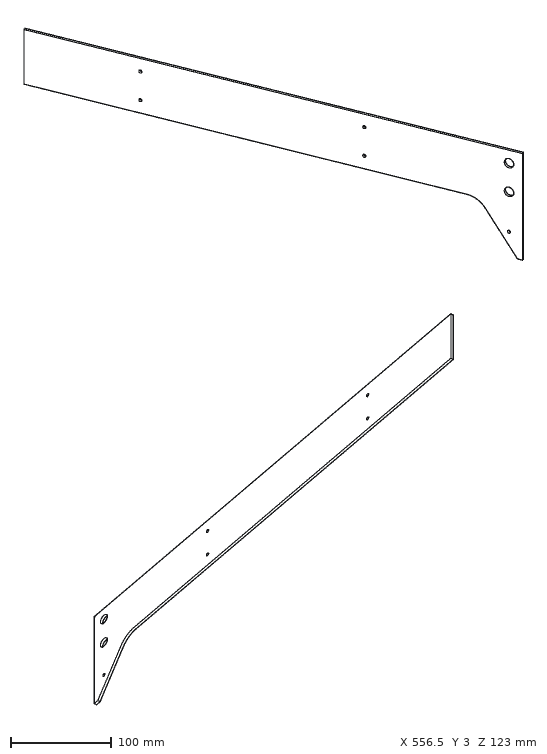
import cadquery as cq

length = 556.55
thickness = 3.0
total_height = 123.0

arm_height = 63.0
leg_root_width = 49.25
leg_tip_width = 5.5
corner_radius = 25.0

hole_inset = 15.0

mounting_diameter = 10.5
locating_depth = 94.0
small_diameter = 3.3

fixing_inset = 130.0
fixing_spacing = 250.0

left = -length / 2
right = length / 2
top = total_height / 2
bottom = -total_height / 2
arm_bottom = top - arm_height
front_face = -thickness / 2


def make_plate():
    """Flat plate with a rounded inner corner between arm and leg."""
    outline = [
        (left, top),
        (right, top),
        (right, bottom),
        (right - leg_tip_width, bottom),
        (right - leg_root_width, arm_bottom),
        (left, arm_bottom),
    ]
    plate = cq.Workplane("XZ").polyline(outline).close().extrude(thickness / 2, both=True)
    inner_corner = cq.selectors.NearestToPointSelector((right - leg_root_width, 0, arm_bottom))
    return plate.edges("|Y").edges(inner_corner).fillet(corner_radius)


def drill(plate, centres, diameter):
    """Cut round through holes at the given (x, z) centres."""
    drills = (
        cq.Workplane("XZ", origin=(0, front_face, 0))
        .pushPoints(centres)
        .circle(diameter / 2)
        .extrude(-thickness)
    )
    return plate.cut(drills)


hole_rows = [top - hole_inset, arm_bottom + hole_inset]
fixing_columns = [left + fixing_inset, left + fixing_inset + fixing_spacing]
end_column = right - hole_inset

mounting_centres = [(end_column, z) for z in hole_rows]
fixing_centres = [(x, z) for x in fixing_columns for z in hole_rows]
locating_centre = (end_column, top - locating_depth)

result = make_plate()
result = drill(result, mounting_centres, mounting_diameter)
result = drill(result, fixing_centres + [locating_centre], small_diameter)